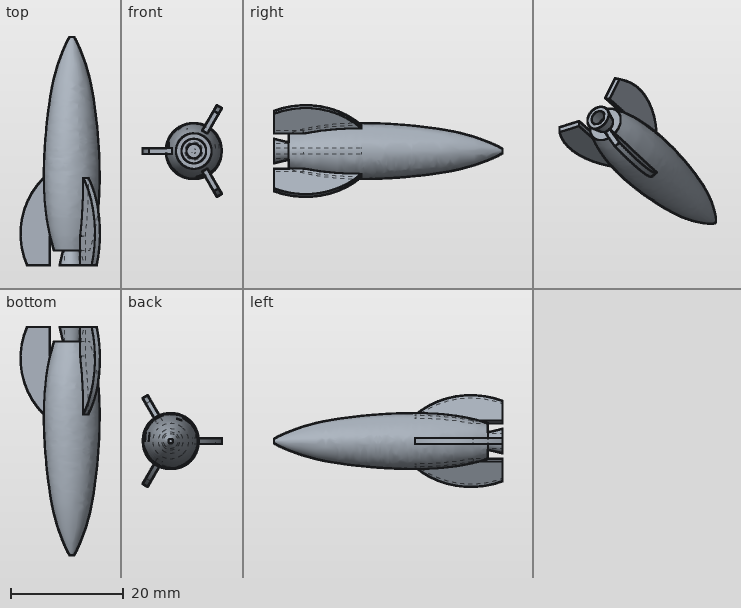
import cadquery as cq

total_length = 40.55

hull_radius = 5.0
hull_widest_y = 16.6
hull_base_radius = 3.15
nose_tip_radius = 0.4

nozzle_length = 2.6
nozzle_rim_radius = 2.2
nozzle_neck_radius = 1.6
bore_diameter = 2.6

fin_count = 3
fin_thickness = 1.05
fin_inner_radius = 3.9
fin_outer_radius = 9.1
fin_end_radius = 7.95
fin_widest_y = 5.67
fin_length = 15.52


def make_hull():
    """Solid of revolution with a smooth curved side, a flat base and a small blunt nose."""
    side_points = [
        (hull_base_radius, nozzle_length),
        (4.35, 7.3),
        (hull_radius, hull_widest_y),
        (4.15, 27.95),
        (2.45, 35.85),
        (1.7, 37.8),
        (0.85, 39.75),
        (nose_tip_radius, total_length),
    ]
    profile = (
        cq.Workplane("XY")
        .moveTo(0, nozzle_length)
        .lineTo(*side_points[0])
        .spline(side_points[1:], includeCurrent=True)
        .lineTo(0, total_length)
        .close()
    )
    return profile.revolve(360, (0, 0, 0), (0, 1, 0))


def make_nozzle():
    """Flared nozzle with a straight bore that stops at the hull base."""
    bore_radius = bore_diameter / 2
    profile = cq.Workplane("XY").polyline([
        (bore_radius, 0),
        (nozzle_rim_radius, 0),
        (nozzle_neck_radius, nozzle_length),
        (bore_radius, nozzle_length),
    ]).close()
    return profile.revolve(360, (0, 0, 0), (0, 1, 0))


def make_fin():
    """Flat fin on the -X side: arched outer edge and a straight inner edge."""
    return (
        cq.Workplane("XY")
        .moveTo(-fin_inner_radius, 0)
        .lineTo(-fin_end_radius, 0)
        .threePointArc((-fin_outer_radius, fin_widest_y), (-hull_radius, fin_length))
        .lineTo(-fin_inner_radius, fin_length)
        .close()
        .extrude(fin_thickness / 2, both=True)
    )


result = make_hull().union(make_nozzle())
for index in range(fin_count):
    fin_angle = index * 360 / fin_count
    result = result.union(make_fin().rotate((0, 0, 0), (0, 1, 0), fin_angle))